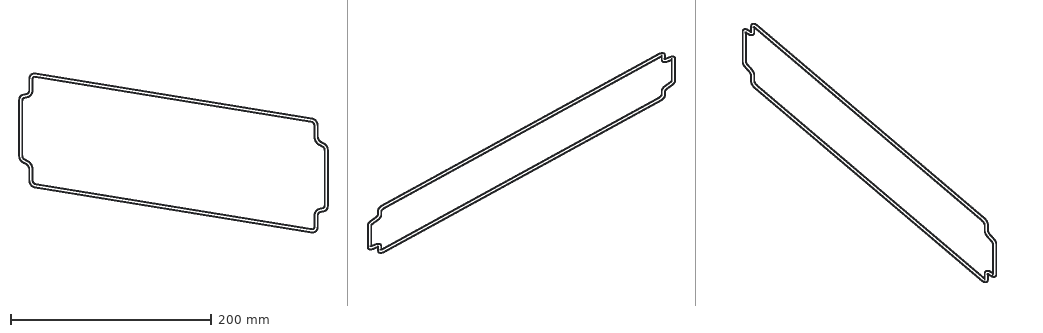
import cadquery as cq
import math

length = 356.5
height = 118.7
cord_diameter = 3.5

shoulder_half_width = 164.7
shoulder_corner_z = 36.5
slope_angle = 18.0
bend_radius = 5.0
shoulder_bend_radius = 7.0

end_x = (length - cord_diameter) / 2
bar_z = (height - cord_diameter) / 2
slope_drop = (end_x - shoulder_half_width) * math.tan(math.radians(slope_angle))
end_corner_z = shoulder_corner_z - slope_drop

quarter = [
    (shoulder_half_width, bar_z),
    (shoulder_half_width, shoulder_corner_z),
    (end_x, end_corner_z),
]


def is_shoulder(corner):
    """True where an upright meets its slope."""
    on_upright = abs(corner.X) < (shoulder_half_width + end_x) / 2
    return on_upright and abs(corner.Z) < (shoulder_corner_z + bar_z) / 2


def closed_centerline():
    """Mirror the quarter about both axes, then round every corner."""
    right = quarter + [(x, -z) for x, z in reversed(quarter)]
    left = [(-x, z) for x, z in reversed(right)]
    top_middle = (0, bar_z)
    corners = [top_middle] + right + left
    sharp = cq.Workplane("XZ").polyline(corners).close().wire().val()
    bends = [v for v in sharp.Vertices() if abs(v.X) > shoulder_half_width / 2]
    shoulders = [v for v in bends if is_shoulder(v)]
    others = [v for v in bends if not is_shoulder(v)]
    return sharp.fillet2D(shoulder_bend_radius, shoulders).fillet2D(bend_radius, others)


cord_section = cq.Workplane("YZ").center(0, bar_z).circle(cord_diameter / 2)
result = cord_section.sweep(cq.Workplane("XZ").newObject([closed_centerline()]))